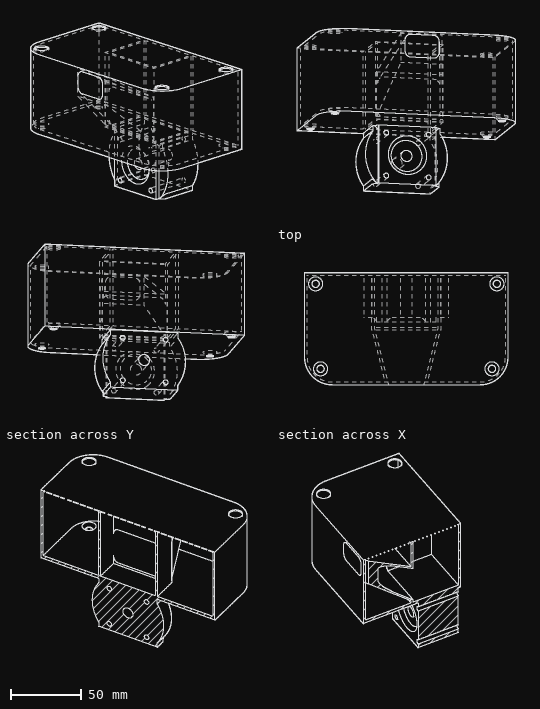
import cadquery as cq
import math

OVERLAP = 1.0

BOX_WIDTH = 145.0
BOX_DEPTH = 80.0
BOX_HEIGHT = 60.0
BOX_CORNER_RADIUS = 20.0

WALL = 2.0
LID_THICKNESS = 1.0
FLOOR_THICKNESS = 3.0

SCREW_DIAMETER = 5.0
SCREW_HEAD_DIAMETER = 10.0
SCREW_HEAD_ANGLE = 90.0
BACK_SCREW_INSET = 8.0
FRONT_SCREW_INSET = 11.5

CHUTE_WIDTH = 25.0
CHUTE_HEIGHT = 16.5
CHUTE_TOP_GAP = 2.25
CHUTE_CEILING_ANGLE = 30.0
CHUTE_FLOOR_ANGLE = 41.5
CHUTE_SPREAD_ANGLE = 14.0
CHUTE_LENGTH = 41.0
CHUTE_CEILING_RADIUS = 3.5
CHUTE_FLOOR_RADIUS = 4.5

PLATE_SIZE = 42.0
PLATE_THICKNESS = 3.0
BODY_WIDTH = 49.0
BODY_LENGTH = 30.0
BODY_BACK_INSET = 2.0
BODY_CORNER_RADIUS = (BODY_WIDTH - PLATE_SIZE) / 2
DRUM_RADIUS = 30.0
GUSSET_SIZE = 2.5

SHAFT_DIAMETER = 8.0
RECESS_MOUTH_DIAMETER = 28.0
RECESS_FLOOR_DIAMETER = 22.5
RECESS_DEPTH = 3.0
MOTOR_SCREW_SPACING = 31.0
MOTOR_SCREW_DIAMETER = 3.5

BOX_FRONT_Y = -BOX_DEPTH
INTERIOR_BOTTOM_Z = FLOOR_THICKNESS
INTERIOR_TOP_Z = BOX_HEIGHT - LID_THICKNESS
CHUTE_TOP_Z = BOX_HEIGHT - CHUTE_TOP_GAP
CHUTE_BOTTOM_Z = CHUTE_TOP_Z - CHUTE_HEIGHT
CHUTE_END_Y = BOX_FRONT_Y + CHUTE_LENGTH
CHUTE_END_WIDTH = CHUTE_WIDTH + 2 * CHUTE_LENGTH * math.tan(math.radians(CHUTE_SPREAD_ANGLE))
BODY_BACK_Y = -BODY_BACK_INSET
BODY_FRONT_Y = BODY_BACK_Y - BODY_LENGTH
PLATE_FRONT_Y = BODY_FRONT_Y - PLATE_THICKNESS
AXIS_Z = -PLATE_SIZE / 2
MOUNT_LENGTH = BODY_LENGTH + PLATE_THICKNESS


def facing_front(y):
    """Workplane in X and Z at the given Y, with its normal toward the front (-Y)."""
    return cq.Workplane("XZ", origin=(0, y, 0))


def block(width, back_y, length, bottom_z, top_z):
    """Box centred on X that runs forward from back_y."""
    return (
        facing_front(back_y)
        .center(0, (bottom_z + top_z) / 2)
        .rect(width, top_z - bottom_z)
        .extrude(length)
    )


def make_box():
    return (
        block(BOX_WIDTH, 0, BOX_DEPTH, 0, BOX_HEIGHT)
        .edges("|Z and <Y")
        .fillet(BOX_CORNER_RADIUS)
    )


def make_interior():
    """Hollow space of the box, with front corners concentric to the outer ones."""
    return (
        block(BOX_WIDTH - 2 * WALL, -WALL, BOX_DEPTH - 2 * WALL, INTERIOR_BOTTOM_Z, INTERIOR_TOP_Z)
        .edges("|Z and <Y")
        .fillet(BOX_CORNER_RADIUS - WALL)
    )


def slope(angle):
    """Rise per unit of run at an angle in degrees."""
    return math.tan(math.radians(angle))


def make_chute(margin):
    """Tapered chute with flat sides, grown by margin on its ceiling, floor and side walls."""
    ceiling_drop = CHUTE_LENGTH * slope(CHUTE_CEILING_ANGLE)
    floor_drop = CHUTE_LENGTH * slope(CHUTE_FLOOR_ANGLE)
    mouth_half = CHUTE_WIDTH / 2 + margin
    end_half = CHUTE_END_WIDTH / 2 + margin
    top_z = CHUTE_TOP_Z + margin
    bottom_z = CHUTE_BOTTOM_Z - margin
    plan = (
        cq.Workplane("XY")
        .polyline([
            (-mouth_half, BOX_FRONT_Y),
            (mouth_half, BOX_FRONT_Y),
            (end_half, CHUTE_END_Y),
            (-end_half, CHUTE_END_Y),
        ])
        .close()
        .extrude(BOX_HEIGHT)
    )
    side_profile = (
        cq.Workplane("YZ")
        .polyline([
            (BOX_FRONT_Y, bottom_z),
            (BOX_FRONT_Y, top_z),
            (CHUTE_END_Y, top_z - ceiling_drop),
            (CHUTE_END_Y, bottom_z - floor_drop),
        ])
        .close()
        .extrude(end_half, both=True)
    )
    return plan.intersect(side_profile)


def make_chute_space():
    """Chute cavity with its four lengthwise edges rounded."""
    lengthwise = "not (|X or |Z)"
    chute = make_chute(0).edges(lengthwise).edges("<Z").fillet(CHUTE_FLOOR_RADIUS)
    return chute.edges(lengthwise).edges(">Z").fillet(CHUTE_CEILING_RADIUS)


def make_chamber(margin):
    """Space behind the chute, grown by margin at the sides and front."""
    length = -WALL - CHUTE_END_Y + margin
    return block(CHUTE_END_WIDTH + 2 * margin, -WALL, length, INTERIOR_BOTTOM_Z, INTERIOR_TOP_Z)


def hollow_box():
    """Box with its side spaces, the walled chute and the chamber hollowed out."""
    side_spaces = make_interior().cut(make_chute(WALL)).cut(make_chamber(WALL))
    return make_box().cut(side_spaces).cut(make_chamber(0)).cut(make_chute_space())


def cut_box_screws(part):
    """Cut the four countersunk floor holes and the access holes above them."""
    back_x = BOX_WIDTH / 2 - BACK_SCREW_INSET
    front_x = BOX_WIDTH / 2 - FRONT_SCREW_INSET
    back_y = -BACK_SCREW_INSET
    front_y = BOX_FRONT_Y + FRONT_SCREW_INSET
    centres = [(-back_x, back_y), (back_x, back_y), (-front_x, front_y), (front_x, front_y)]
    access = (
        cq.Workplane("XY", origin=(0, 0, INTERIOR_TOP_Z))
        .pushPoints(centres)
        .circle(SCREW_HEAD_DIAMETER / 2)
        .extrude(LID_THICKNESS)
    )
    head_depth = (SCREW_HEAD_DIAMETER - SCREW_DIAMETER) / 2 / slope(SCREW_HEAD_ANGLE / 2)
    part = part.cut(access)
    for x, y in centres:
        shank = cq.Workplane("XY").center(x, y).circle(SCREW_DIAMETER / 2).extrude(FLOOR_THICKNESS)
        head = cq.Workplane(
            cq.Solid.makeCone(
                SCREW_DIAMETER / 2,
                SCREW_HEAD_DIAMETER / 2,
                head_depth,
                cq.Vector(x, y, INTERIOR_BOTTOM_Z - head_depth),
            )
        )
        part = part.cut(shank).cut(head)
    return part


def make_mount_body():
    """Front plate, rounded rectangular body and a drum on the motor axis, all flat at the bottom."""
    body = (
        block(BODY_WIDTH, BODY_BACK_Y, BODY_LENGTH, -PLATE_SIZE, 0)
        .edges("|Z and <Y")
        .fillet(BODY_CORNER_RADIUS)
    )
    drum = facing_front(BODY_BACK_Y).center(0, AXIS_Z).circle(DRUM_RADIUS).extrude(BODY_LENGTH)
    drum_span = block(2 * DRUM_RADIUS, BODY_BACK_Y, BODY_LENGTH, -PLATE_SIZE, OVERLAP)
    shoulders = block(BODY_WIDTH, BODY_BACK_Y, BODY_LENGTH, AXIS_Z, OVERLAP)
    plate = block(PLATE_SIZE, BODY_BACK_Y, MOUNT_LENGTH, -PLATE_SIZE, OVERLAP)
    return body.union(drum.intersect(drum_span)).union(shoulders).union(plate)


def make_gusset(side):
    """Small corner pyramid between box underside, mount body and plate edge."""
    edge_x = side * PLATE_SIZE / 2
    corner = cq.Vector(edge_x, BODY_FRONT_Y, 0)
    outer = cq.Vector(edge_x + side * GUSSET_SIZE, BODY_FRONT_Y, 0)
    front = cq.Vector(edge_x, BODY_FRONT_Y - GUSSET_SIZE, 0)
    lower = cq.Vector(edge_x, BODY_FRONT_Y, -GUSSET_SIZE)
    triangles = [
        (corner, outer, front),
        (corner, front, lower),
        (corner, lower, outer),
        (outer, lower, front),
    ]
    faces = [cq.Face.makeFromWires(cq.Wire.makePolygon(t, close=True)) for t in triangles]
    return cq.Workplane(cq.Solid.makeSolid(cq.Shell.makeShell(faces)))


def make_mount_holes():
    """Shaft hole, tapered boss recess and motor screw holes, all parallel to Y."""
    shaft = facing_front(0).center(0, AXIS_Z).circle(SHAFT_DIAMETER / 2).extrude(BOX_DEPTH)
    recess = (
        facing_front(PLATE_FRONT_Y + RECESS_DEPTH)
        .center(0, AXIS_Z)
        .circle(RECESS_FLOOR_DIAMETER / 2)
        .workplane(offset=RECESS_DEPTH)
        .circle(RECESS_MOUTH_DIAMETER / 2)
        .loft()
    )
    screws = (
        facing_front(0)
        .center(0, AXIS_Z)
        .rect(MOTOR_SCREW_SPACING, MOTOR_SCREW_SPACING, forConstruction=True)
        .vertices()
        .circle(MOTOR_SCREW_DIAMETER / 2)
        .extrude(BOX_DEPTH)
    )
    return shaft.union(recess).union(screws)


part = cut_box_screws(hollow_box())
part = part.union(make_mount_body())
for side in (-1, 1):
    part = part.union(make_gusset(side))
result = part.cut(make_mount_holes())